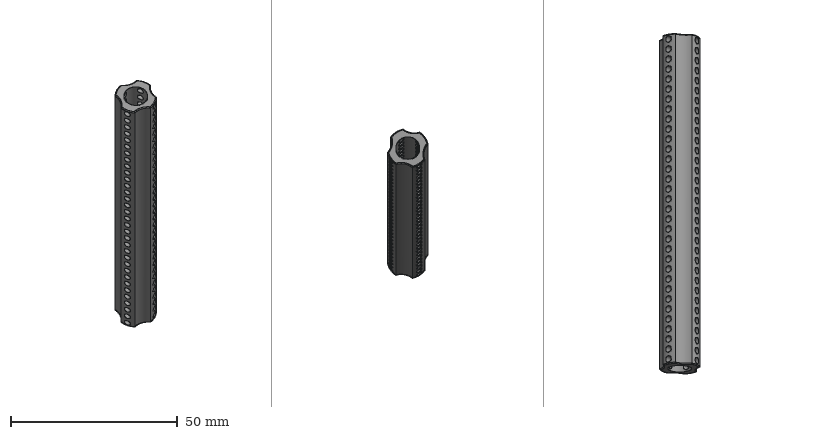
import cadquery as cq
import math

length = 103.1
overall_width = 12.5
tip_radius = overall_width / 2
arm_half_width = 2.3
valley_radius = 5.1
end_chamfer = 0.3

bore_diameter = 7.1
web_hole_diameter = 3.0
web_top = 11.0
web_thickness = 2.5

arm_count = 4
arm_step = 360 / arm_count
holes_per_row = 33
side_hole_diameter = 2.0
side_hole_end_radius = 2.9
hole_pitch = length / holes_per_row


def turned(point, angle):
    """Rotate a 2D point about the origin by an angle in degrees."""
    a = math.radians(angle)
    x, y = point
    return (x * math.cos(a) - y * math.sin(a), x * math.sin(a) + y * math.cos(a))


def cross_bar():
    """Solid bar with four round-tipped arms joined by concave valleys, chamfered at both ends."""
    corner_x = math.sqrt(tip_radius**2 - arm_half_width**2)
    lower_corner = (corner_x, -arm_half_width)
    upper_corner = (corner_x, arm_half_width)

    outline = cq.Workplane("XY").moveTo(*lower_corner)
    for arm in range(arm_count):
        angle = arm * arm_step
        tip = turned((tip_radius, 0), angle)
        valley = turned((valley_radius, 0), angle + arm_step / 2)
        outline = outline.threePointArc(tip, turned(upper_corner, angle))
        outline = outline.threePointArc(valley, turned(lower_corner, angle + arm_step))
    bar = outline.close().extrude(length)
    return bar.faces("<Z or >Z").edges().chamfer(end_chamfer)


def bore_space():
    """The bore on both sides of the web, plus the smaller hole through the web."""
    web_bottom = web_top - web_thickness
    lower_bore = cq.Workplane("XY").circle(bore_diameter / 2).extrude(web_bottom)
    upper_bore = (
        cq.Workplane("XY", origin=(0, 0, web_top))
        .circle(bore_diameter / 2)
        .extrude(length - web_top)
    )
    web_hole = cq.Workplane("XY").circle(web_hole_diameter / 2).extrude(length)
    return lower_bore.union(upper_bore).union(web_hole)


def hole_row(angle):
    """Cutters for the holes of one arm; those level with the web notch its rim."""
    heights = [(i + 0.5) * hole_pitch for i in range(holes_per_row)]
    row = (
        cq.Workplane("YZ", origin=(side_hole_end_radius, 0, 0))
        .pushPoints([(0, z) for z in heights])
        .circle(side_hole_diameter / 2)
        .extrude(tip_radius - side_hole_end_radius)
    )
    return row.rotate((0, 0, 0), (0, 0, 1), angle)


result = cross_bar().cut(bore_space())
for arm in range(arm_count):
    result = result.cut(hole_row(arm * arm_step))